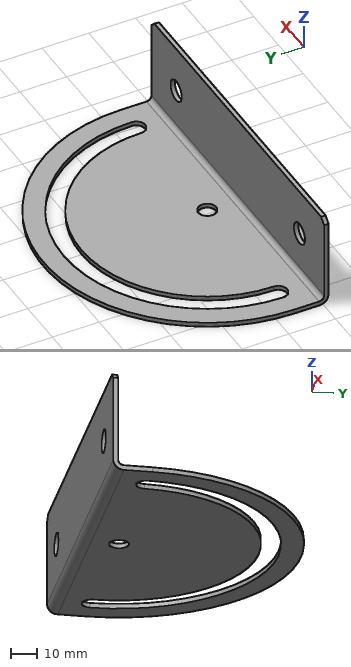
import cadquery as cq

width = 140.0
flange_height = 40.0
thickness = 2.0
bend_outer_radius = 4.0
bend_inner_radius = bend_outer_radius - thickness
corner_chamfer = 2.4

base_radius = width / 2
pivot_to_flange = 15.0
flange_face_y = -pivot_to_flange
pivot_diameter = 7.5

slot_radius = 57.5
slot_width = 7.5

mount_diameter = 9.0
mount_spacing = 100.0
mount_height = 20.0


def bent_sheet():
    """L-shaped sheet with a rounded bend, extruded across the full width."""
    profile = (
        cq.Workplane("YZ")
        .moveTo(base_radius, 0)
        .lineTo(flange_face_y + bend_outer_radius, 0)
        .radiusArc((flange_face_y, bend_outer_radius), bend_outer_radius)
        .lineTo(flange_face_y, flange_height)
        .lineTo(flange_face_y + thickness, flange_height)
        .lineTo(flange_face_y + thickness, bend_outer_radius)
        .radiusArc((flange_face_y + bend_outer_radius, thickness), -bend_inner_radius)
        .lineTo(base_radius, thickness)
        .close()
    )
    return profile.extrude(width / 2, both=True)


def plan_outline():
    """Straight-sided outline with a semicircular far end, as tall as the flange."""
    return (
        cq.Workplane("XY")
        .moveTo(-base_radius, flange_face_y)
        .lineTo(base_radius, flange_face_y)
        .lineTo(base_radius, 0)
        .threePointArc((0, base_radius), (-base_radius, 0))
        .close()
        .extrude(flange_height)
    )


def curved_slot():
    """Half-circle slot cutter with round ends level with the pivot."""
    outer = slot_radius + slot_width / 2
    inner = slot_radius - slot_width / 2
    return (
        cq.Workplane("XY")
        .moveTo(outer, 0)
        .threePointArc((0, outer), (-outer, 0))
        .threePointArc((-slot_radius, -slot_width / 2), (-inner, 0))
        .threePointArc((0, inner), (inner, 0))
        .threePointArc((slot_radius, -slot_width / 2), (outer, 0))
        .close()
        .extrude(thickness)
    )


def pivot_hole():
    return cq.Workplane("XY").circle(pivot_diameter / 2).extrude(thickness)


def mounting_holes():
    """Pair of cutters running through the flange along +Y."""
    return (
        cq.Workplane("XZ", origin=(0, flange_face_y, mount_height))
        .pushPoints([(-mount_spacing / 2, 0), (mount_spacing / 2, 0)])
        .circle(mount_diameter / 2)
        .extrude(-thickness)
    )


bracket = bent_sheet().intersect(plan_outline())
bracket = bracket.faces(">Z").edges("|Y").chamfer(corner_chamfer)
result = bracket.cut(curved_slot()).cut(pivot_hole()).cut(mounting_holes())